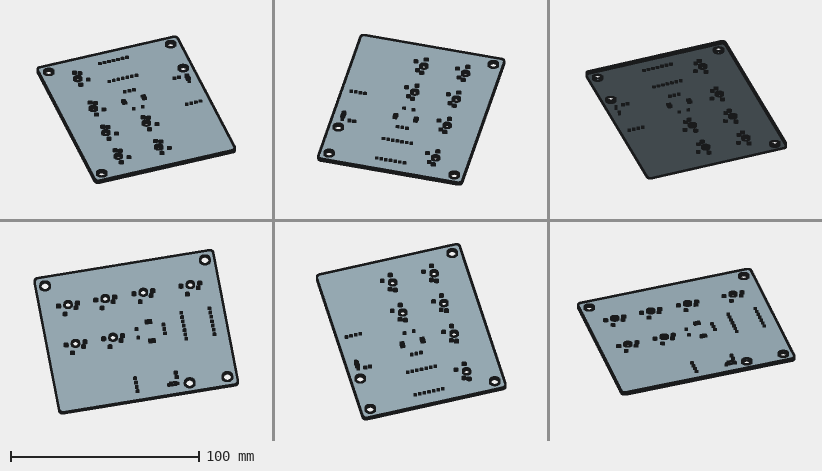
import cadquery as cq
import math

BOARD_LENGTH = 96.5
BOARD_WIDTH = 78.8
BOARD_THICKNESS = 1.6
CORNER_RADIUS = 2.0
PITCH = 2.54

MOUNT_DIAMETER = 5.1
MOUNT_INSET = 5.1
MOUNT_X = BOARD_LENGTH / 2 - MOUNT_INSET
MOUNT_Y = BOARD_WIDTH / 2 - MOUNT_INSET
INNER_MOUNT_X = -22.8
MOUNT_CENTRES = [
    (-MOUNT_X, MOUNT_Y),
    (INNER_MOUNT_X, MOUNT_Y),
    (-MOUNT_X, -MOUNT_Y),
    (MOUNT_X, -MOUNT_Y),
]

UPPER_ROW_Y = 1.3
LOWER_ROW_Y = -21.5
SWITCH_CENTRES = [
    (12.7, UPPER_ROW_Y),
    (33.0, UPPER_ROW_Y),
    (-33.0, LOWER_ROW_Y),
    (-7.6, LOWER_ROW_Y),
    (12.9, LOWER_ROW_Y),
    (33.0, LOWER_ROW_Y),
]
CENTRE_POST_DIAMETER = 4.0
SIDE_POST_DIAMETER = 1.7
CONTACT_DIAMETER = 1.5
SIDE_POST_OFFSETS = [(-2 * PITCH, 0), (2 * PITCH, 0)]
CONTACT_OFFSETS = [(-1.5 * PITCH, PITCH), (PITCH, 2 * PITCH)]

CONTROLLER_LEFT_X = -40.6
CONTROLLER_COLUMN_SPACING = 6 * PITCH
CONTROLLER_PINS_PER_COLUMN = 7
CONTROLLER_HOLE_DIAMETER = 0.89

HEADER_X = 5.3
HEADER_CENTRE_Y = 30.4
HEADER_PINS = 4
HEADER_HOLE_DIAMETER = 1.0
PAIR_X = -16.5
PAIR_CENTRE_Y = 28.5
PAIR_HOLE_DIAMETER = 1.3

ENCODER_X = -7.3
ENCODER_LEFT_OFFSET = 7.5
ENCODER_RIGHT_OFFSET = 6.95
ENCODER_HOLE_DIAMETER = 1.0
ENCODER_SLOT_LENGTH = 2.8
ENCODER_SLOT_WIDTH = 1.5
ENCODER_SLOT_SPACING = 11.2

DIODE_X = -14.0
DIODE_Y = 33.7
DIODE_CAP_DIAMETER = 1.6
DIODE_GLASS_DIAMETER = 1.4
DIODE_BODY_LENGTH = 3.3
DIODE_GLASS_LENGTH = 1.7
CAP_FILLET = 0.3
LEAD_DIAMETER = 0.5
LEAD_HOLE_DIAMETER = 0.7
LEAD_SPACING = 2 * PITCH
LEAD_BEND_RADIUS = 0.75
OVERALL_HEIGHT = 4.6
LEAD_BOTTOM_Z = BOARD_THICKNESS + DIODE_CAP_DIAMETER - OVERALL_HEIGHT
DIODE_AXIS_Z = BOARD_THICKNESS + DIODE_CAP_DIAMETER / 2


def column(x, centre_y, count):
    """Points one pitch apart along Y, centred on centre_y."""
    first_y = centre_y - (count - 1) * PITCH / 2
    return [(x, first_y + i * PITCH) for i in range(count)]


def shifted(centre, offsets):
    return [(centre[0] + dx, centre[1] + dy) for dx, dy in offsets]


def drill(board, centres, diameter):
    drills = (
        cq.Workplane("XY")
        .pushPoints(centres)
        .circle(diameter / 2)
        .extrude(BOARD_THICKNESS)
    )
    return board.cut(drills)


def cut_switches(board):
    for centre in SWITCH_CENTRES:
        board = drill(board, [centre], CENTRE_POST_DIAMETER)
        board = drill(board, shifted(centre, SIDE_POST_OFFSETS), SIDE_POST_DIAMETER)
        board = drill(board, shifted(centre, CONTACT_OFFSETS), CONTACT_DIAMETER)
    return board


def cut_controller(board):
    for x in (CONTROLLER_LEFT_X, CONTROLLER_LEFT_X + CONTROLLER_COLUMN_SPACING):
        contacts = column(x, UPPER_ROW_Y, CONTROLLER_PINS_PER_COLUMN)
        board = drill(board, contacts, CONTROLLER_HOLE_DIAMETER)
    return board


def cut_encoder(board):
    right_x = ENCODER_X + ENCODER_RIGHT_OFFSET
    contacts = column(ENCODER_X - ENCODER_LEFT_OFFSET, UPPER_ROW_Y, 3)
    contacts += [(right_x, UPPER_ROW_Y - PITCH), (right_x, UPPER_ROW_Y + PITCH)]
    board = drill(board, contacts, ENCODER_HOLE_DIAMETER)
    slots = (
        cq.Workplane("XY")
        .center(ENCODER_X, UPPER_ROW_Y)
        .rarray(1, ENCODER_SLOT_SPACING, 1, 2)
        .rect(ENCODER_SLOT_LENGTH, ENCODER_SLOT_WIDTH)
        .extrude(BOARD_THICKNESS)
    )
    return board.cut(slots)


def make_board():
    board = (
        cq.Workplane("XY")
        .rect(BOARD_LENGTH, BOARD_WIDTH)
        .extrude(BOARD_THICKNESS)
        .edges("|Z")
        .fillet(CORNER_RADIUS)
    )
    board = drill(board, MOUNT_CENTRES, MOUNT_DIAMETER)
    board = cut_switches(board)
    board = cut_controller(board)
    board = cut_encoder(board)
    board = drill(board, column(HEADER_X, HEADER_CENTRE_Y, HEADER_PINS), HEADER_HOLE_DIAMETER)
    board = drill(board, column(PAIR_X, PAIR_CENTRE_Y, 2), PAIR_HOLE_DIAMETER)
    half_spacing = LEAD_SPACING / 2
    lead_centres = [(DIODE_X - half_spacing, DIODE_Y), (DIODE_X + half_spacing, DIODE_Y)]
    return drill(board, lead_centres, LEAD_HOLE_DIAMETER)


def make_lead():
    """One wire bent at both ends, running through the diode along X."""
    left_x = DIODE_X - LEAD_SPACING / 2
    right_x = DIODE_X + LEAD_SPACING / 2
    bend_z = DIODE_AXIS_Z - LEAD_BEND_RADIUS
    arc_inset = LEAD_BEND_RADIUS * (1 - math.sqrt(0.5))
    path = (
        cq.Workplane("XZ", origin=(0, DIODE_Y, 0))
        .moveTo(left_x, LEAD_BOTTOM_Z)
        .lineTo(left_x, bend_z)
        .threePointArc(
            (left_x + arc_inset, DIODE_AXIS_Z - arc_inset),
            (left_x + LEAD_BEND_RADIUS, DIODE_AXIS_Z),
        )
        .lineTo(right_x - LEAD_BEND_RADIUS, DIODE_AXIS_Z)
        .threePointArc(
            (right_x - arc_inset, DIODE_AXIS_Z - arc_inset),
            (right_x, bend_z),
        )
        .lineTo(right_x, LEAD_BOTTOM_Z)
    )
    return (
        cq.Workplane("XY", origin=(left_x, DIODE_Y, LEAD_BOTTOM_Z))
        .circle(LEAD_DIAMETER / 2)
        .sweep(path)
    )


def make_diode():
    cap_length = (DIODE_BODY_LENGTH - DIODE_GLASS_LENGTH) / 2
    axis_plane = cq.Workplane("YZ", origin=(DIODE_X, DIODE_Y, DIODE_AXIS_Z))
    diode = axis_plane.circle(DIODE_GLASS_DIAMETER / 2).extrude(DIODE_GLASS_LENGTH / 2, both=True)
    for cap_start, outer_face in ((-DIODE_BODY_LENGTH / 2, "<X"), (DIODE_GLASS_LENGTH / 2, ">X")):
        cap = axis_plane.workplane(offset=cap_start).circle(DIODE_CAP_DIAMETER / 2).extrude(cap_length)
        diode = diode.union(cap.faces(outer_face).edges().fillet(CAP_FILLET))
    return diode.union(make_lead())


board = make_board()
diode = make_diode()
result = cq.Compound.makeCompound([board.val(), *diode.vals()])